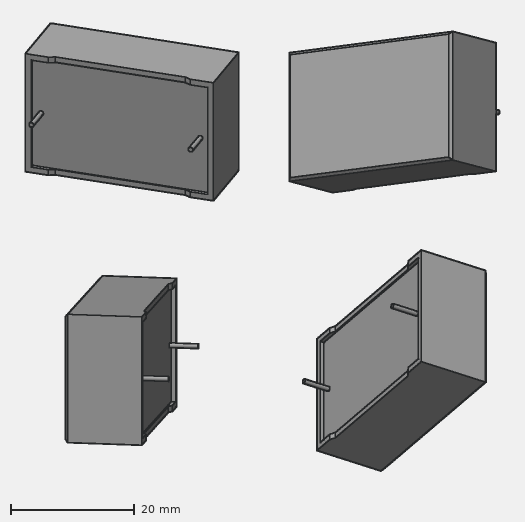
import cadquery as cq

case_width = 32.5
case_height = 21.3
total_depth = 16.7
lead_projection = 4.0
case_depth = total_depth - lead_projection
wall = 1.0
back_chamfer = 0.5

relief_depth = 0.5
relief_start = 4.0
relief_slope_length = 1.0

fill_recess = 0.7

lead_diameter = 0.8
lead_spacing = 27.5

cavity_width = case_width - 2 * wall
cavity_height = case_height - 2 * wall
cavity_depth = case_depth - wall
rim_y = 0.0
fill_face_y = rim_y + fill_recess


def block(width, depth, height, front_y):
    """Box centred in X and Z whose front face lies at front_y."""
    return cq.Workplane("XY").box(width, depth, height, centered=(True, False, True)).translate((0, front_y, 0))


def make_rim_relief():
    outer_x = case_width / 2 - relief_start
    inner_x = outer_x - relief_slope_length
    return (
        cq.Workplane("XY")
        .polyline([
            (-outer_x, rim_y),
            (outer_x, rim_y),
            (inner_x, rim_y + relief_depth),
            (-inner_x, rim_y + relief_depth),
        ])
        .close()
        .extrude(case_height / 2, both=True)
    )


def make_case():
    body = block(case_width, case_depth, case_height, rim_y).faces(">Y").chamfer(back_chamfer)
    cavity = block(cavity_width, cavity_depth, cavity_height, rim_y)
    return body.cut(cavity).cut(make_rim_relief())


def make_fill():
    """Potting that fills the cavity up to just below the rim."""
    return block(cavity_width, cavity_depth - fill_recess, cavity_height, fill_face_y)


def make_lead(x):
    """Round wire standing on the fill face and pointing toward -Y."""
    return (
        cq.Workplane("XZ", origin=(x, fill_face_y, 0))
        .circle(lead_diameter / 2)
        .extrude(lead_projection + fill_recess)
    )


case = make_case()
fill = make_fill()
leads = [make_lead(side * lead_spacing / 2) for side in (-1, 1)]

result = cq.Compound.makeCompound([case.val(), fill.val(), *[lead.val() for lead in leads]])